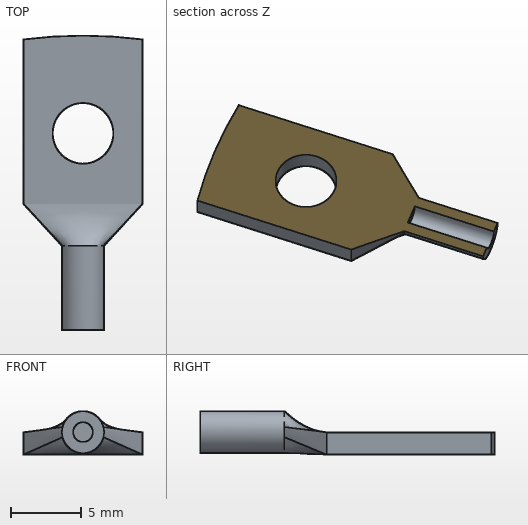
import cadquery as cq
import math

total_length = 20.97
plate_width = 8.5
plate_thickness = 1.6
plate_end_rise = 0.27
barrel_diameter = 3.0
barrel_length = 6.0
bore_diameter = 1.4
bore_depth = barrel_length
neck_length = 3.0
stud_hole_diameter = 4.3
stud_hole_y = 14.0
total_height = 3.1
corner_angle = math.radians(14)
crown_share = 0.28

half_width = plate_width / 2
barrel_radius = barrel_diameter / 2
plate_start_y = barrel_length + neck_length
barrel_axis_z = total_height - barrel_radius


def make_plate():
    """Flat tongue with a gently arched far end and a stud hole."""
    shoulder_y = total_length - plate_end_rise
    return (
        cq.Workplane("XY")
        .moveTo(-half_width, plate_start_y)
        .lineTo(half_width, plate_start_y)
        .lineTo(half_width, shoulder_y)
        .threePointArc((0, total_length), (-half_width, shoulder_y))
        .close()
        .extrude(plate_thickness)
        .cut(
            cq.Workplane("XY")
            .center(0, stud_hole_y)
            .circle(stud_hole_diameter / 2)
            .extrude(plate_thickness)
        )
    )


def mix(start, end, share):
    return start + (end - start) * share


def neck_section(share):
    """Closed section of the neck: 0 is the plate rectangle, 1 is the barrel circle."""
    y = mix(plate_start_y, barrel_length, share)
    corner_x = mix(half_width, barrel_radius * math.cos(corner_angle), share)
    corner_rise = barrel_radius * math.sin(corner_angle)
    upper_z = mix(plate_thickness, barrel_axis_z + corner_rise, share)
    lower_z = mix(0, barrel_axis_z - corner_rise, share)
    side_x = mix(half_width, barrel_radius, share)
    side_z = mix(plate_thickness / 2, barrel_axis_z, share)

    crown_rise = crown_share if 0 < share < 1 else share
    crown_z = mix(plate_thickness, barrel_axis_z + barrel_radius, crown_rise)
    keel_z = mix(0, barrel_axis_z - barrel_radius, share)

    corners = [
        cq.Vector(-corner_x, y, lower_z),
        cq.Vector(corner_x, y, lower_z),
        cq.Vector(corner_x, y, upper_z),
        cq.Vector(-corner_x, y, upper_z),
    ]
    middles = [
        cq.Vector(0, y, keel_z),
        cq.Vector(side_x, y, side_z),
        cq.Vector(0, y, crown_z),
        cq.Vector(-side_x, y, side_z),
    ]
    edges = []
    for index, middle in enumerate(middles):
        start = corners[index]
        end = corners[(index + 1) % len(corners)]
        if share == 0:
            edges.append(cq.Edge.makeLine(start, end))
        else:
            edges.append(cq.Edge.makeThreePointArc(start, middle, end))
    return cq.Wire.assembleEdges(edges)


def make_neck():
    sections = [neck_section(share) for share in (0, 0.5, 1)]
    return cq.Workplane(cq.Solid.makeLoft(sections))


def barrel_cylinder(diameter, length):
    """Cylinder on the barrel axis, running from the mouth toward the plate."""
    axis = cq.Vector(0, 1, 0)
    mouth = cq.Vector(0, 0, barrel_axis_z)
    return cq.Workplane(cq.Solid.makeCylinder(diameter / 2, length, mouth, axis))


barrel = barrel_cylinder(barrel_diameter, barrel_length)
bore = barrel_cylinder(bore_diameter, bore_depth)

result = make_plate().union(make_neck()).union(barrel).cut(bore)